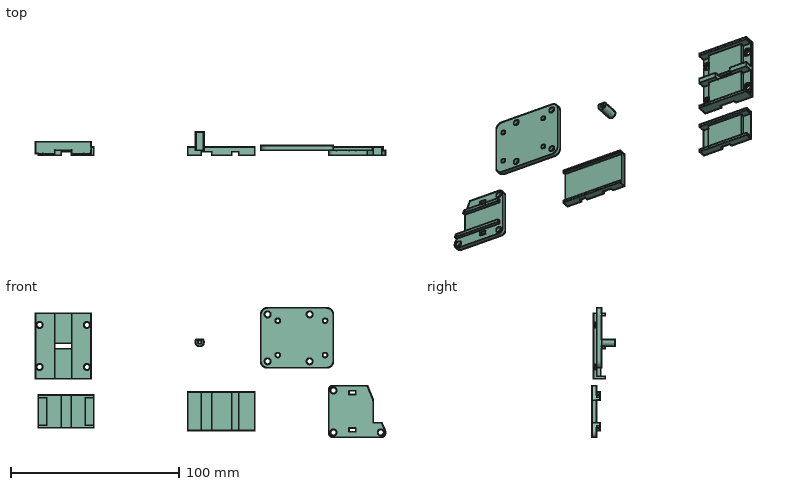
import cadquery as cq
import math



def box(x, y, z, width, depth, height):
    """Box from its lowest corner and its sizes along X, Y and Z."""
    return cq.Workplane("XY").box(width, depth, height, centered=False).translate((x, y, z))


def y_cylinder(x, y, z, diameter, length):
    """Cylinder along +Y that starts at (x, y, z)."""
    return cq.Workplane("XZ", origin=(x, y, z)).circle(diameter / 2).extrude(-length)


def drill(body, places, diameter, y, length):
    """Cut holes along Y at the given (x, z) places."""
    for x, z in places:
        body = body.cut(y_cylinder(x, y, z, diameter, length))
    return body


SCREW_HOLE = 3.5
SHEET = 3.0
CLIP_WIDTH = 33.1
GROOVE_DEPTH = 2.0
FLANGED_DEPTH = 5.0

SCREW_CLIP_Y = 1.0
SCREW_CLIP_Z = 34.8
SCREW_CLIP_HEIGHT = 39.2
SCREW_CLIP_DEPTH = 7.0
SCREW_CLIP_WEB = 4.4
SCREW_CLIP_TAB = 2.0
SCREW_CLIP_FLANGE = 1.7
SCREW_CLIP_MARGIN = 5.2
SCREW_CLIP_GROOVE = 10.0
WINDOW_HEIGHT = 3.1
SCREW_INSET = 2.5
SCREW_PITCH_Z = 25.0
HEAD_DIAMETER = 5.2
HEAD_DEPTH = 1.0


def make_screw_clip():
    middle_z = SCREW_CLIP_Z + SCREW_CLIP_HEIGHT / 2
    top_z = SCREW_CLIP_Z + SCREW_CLIP_HEIGHT
    back_y = SCREW_CLIP_Y + SCREW_CLIP_TAB

    clip = box(0, SCREW_CLIP_Y, SCREW_CLIP_Z, CLIP_WIDTH, SCREW_CLIP_TAB, SCREW_CLIP_HEIGHT)
    slab_width = CLIP_WIDTH - 2 * SCREW_CLIP_MARGIN
    clip = clip.union(
        box(SCREW_CLIP_MARGIN, SCREW_CLIP_Y, SCREW_CLIP_Z, slab_width, SCREW_CLIP_WEB, SCREW_CLIP_HEIGHT)
    )
    window_z = middle_z - WINDOW_HEIGHT / 2
    flanges = [
        (SCREW_CLIP_Z, SCREW_CLIP_FLANGE),
        (window_z, WINDOW_HEIGHT),
        (top_z - SCREW_CLIP_FLANGE, SCREW_CLIP_FLANGE),
    ]
    for z, height in flanges:
        clip = clip.union(box(0, SCREW_CLIP_Y, z, CLIP_WIDTH, SCREW_CLIP_DEPTH, height))

    groove_x = (CLIP_WIDTH - SCREW_CLIP_GROOVE) / 2
    clip = clip.cut(
        box(groove_x, SCREW_CLIP_Y, SCREW_CLIP_Z, SCREW_CLIP_GROOVE, GROOVE_DEPTH, SCREW_CLIP_HEIGHT)
    )
    clip = clip.cut(
        box(groove_x, SCREW_CLIP_Y, window_z, SCREW_CLIP_GROOVE, SCREW_CLIP_DEPTH, WINDOW_HEIGHT)
    )

    screws = [
        (x, middle_z + side * SCREW_PITCH_Z / 2)
        for x in (SCREW_INSET, CLIP_WIDTH - SCREW_INSET)
        for side in (-1, 1)
    ]
    clip = drill(clip, screws, SCREW_HOLE, SCREW_CLIP_Y, SCREW_CLIP_TAB)
    return drill(clip, screws, HEAD_DIAMETER, back_y - HEAD_DEPTH, HEAD_DEPTH)



def make_grooved_clip(x, z, width, height, flange, grooves):
    """Slab with a flange along its top and bottom and vertical front grooves.

    Each groove is given as (offset from the left side, width).
    """
    clip = box(x, 0, z, width, SHEET, height)
    for flange_z in (z, z + height - flange):
        clip = clip.union(box(x, 0, flange_z, width, FLANGED_DEPTH, flange))
    for offset, groove_width in grooves:
        clip = clip.cut(box(x + offset, 0, z, groove_width, GROOVE_DEPTH, height))
    return clip


SMALL_CLIP_X = 1.7
SMALL_CLIP_Z = 5.6
SMALL_CLIP_HEIGHT = 19.5
SMALL_CLIP_FLANGE = 1.7
SMALL_CLIP_MARGIN = 5.0
SMALL_CLIP_TAB = 0.5
SMALL_CLIP_GROOVES = [(13.8, 6.0)]


def make_small_clip():
    clip = make_grooved_clip(
        SMALL_CLIP_X, SMALL_CLIP_Z, CLIP_WIDTH, SMALL_CLIP_HEIGHT, SMALL_CLIP_FLANGE, SMALL_CLIP_GROOVES
    )
    pocket_z = SMALL_CLIP_Z + SMALL_CLIP_FLANGE
    pocket_height = SMALL_CLIP_HEIGHT - 2 * SMALL_CLIP_FLANGE
    for x in (SMALL_CLIP_X, SMALL_CLIP_X + CLIP_WIDTH - SMALL_CLIP_MARGIN):
        clip = clip.cut(box(x, SMALL_CLIP_TAB, pocket_z, SMALL_CLIP_MARGIN, FLANGED_DEPTH, pocket_height))
    return clip


WIDE_CLIP_X = 90.6
WIDE_CLIP_Z = 4.0
WIDE_CLIP_WIDTH = 40.0
WIDE_CLIP_HEIGHT = 23.1
WIDE_CLIP_FLANGE = 1.5
WIDE_CLIP_GROOVES = [(8.1, 6.0), (26.3, 4.0)]


def make_wide_clip():
    return make_grooved_clip(
        WIDE_CLIP_X, WIDE_CLIP_Z, WIDE_CLIP_WIDTH, WIDE_CLIP_HEIGHT, WIDE_CLIP_FLANGE, WIDE_CLIP_GROOVES
    )


SHAFT_X = 97.7
SHAFT_Y = SHEET
SHAFT_Z = 56.7
SHAFT_DIAMETER = 5.2
SHAFT_LENGTH = 11.0
SHAFT_BORE = 2.0
SHAFT_FLAT = 1.7


def make_shaft():
    shaft = y_cylinder(SHAFT_X, SHAFT_Y, SHAFT_Z, SHAFT_DIAMETER, SHAFT_LENGTH)
    radius = SHAFT_DIAMETER / 2
    shaft = shaft.cut(
        box(SHAFT_X - radius, SHAFT_Y, SHAFT_Z + SHAFT_FLAT, SHAFT_DIAMETER, SHAFT_LENGTH, radius)
    )
    return drill(shaft, [(SHAFT_X, SHAFT_Z)], SHAFT_BORE, SHAFT_Y, SHAFT_LENGTH)


PLATE_X = 134.0
PLATE_Y = SHEET
PLATE_Z = 41.3
PLATE_WIDTH = 43.3
PLATE_HEIGHT = 35.8
PLATE_CORNER = 4.2
LARGE_HOLES_X = (4.2, 29.2)
LARGE_HOLES_PITCH_Z = 28.0
SMALL_HOLE = 2.7
SMALL_HOLES_X = (10.2, 38.3)
SMALL_HOLES_PITCH_Z = 20.5


def make_mounting_plate():
    plate = box(PLATE_X, PLATE_Y, PLATE_Z, PLATE_WIDTH, SHEET, PLATE_HEIGHT)
    plate = plate.edges("|Y").fillet(PLATE_CORNER)
    middle_z = PLATE_Z + PLATE_HEIGHT / 2
    hole_sets = [
        (LARGE_HOLES_X, LARGE_HOLES_PITCH_Z, SCREW_HOLE),
        (SMALL_HOLES_X, SMALL_HOLES_PITCH_Z, SMALL_HOLE),
    ]
    for offsets, pitch_z, diameter in hole_sets:
        places = [(PLATE_X + dx, middle_z + side * pitch_z / 2) for dx in offsets for side in (-1, 1)]
        plate = drill(plate, places, diameter, PLATE_Y, SHEET)
    return plate


BRACKET_LEFT = 174.5
BRACKET_RIGHT = 208.4
BRACKET_TOP = 30.8
BRACKET_CORNER = 3.0
SLOPE_TOP_X = 197.5
SLOPE_BOTTOM_Z = 22.0
NOTCH_X = 201.0
EAR_TOP = 8.8
EAR_CORNER_X = 206.0
RIB_INSET = 2.0
RIB_HEIGHT = 1.9
SLOT_X = 188.5
SLOT_WIDTH = 4.0
SLOT_HEIGHT = 2.0
SLOTS_Z = (4.4, 26.7)


def bracket_outline(depth):
    """The bracket's outline, extruded from y = 0."""
    eye_x = BRACKET_RIGHT - BRACKET_CORNER
    eye_z = BRACKET_CORNER
    dx = EAR_CORNER_X - eye_x
    dz = EAR_TOP - eye_z
    tangent = math.atan2(dz, dx) - math.acos(BRACKET_CORNER / math.hypot(dx, dz))

    def eye_point(angle):
        return (eye_x + BRACKET_CORNER * math.cos(angle), eye_z + BRACKET_CORNER * math.sin(angle))

    outline = (
        cq.Workplane("XZ")
        .moveTo(BRACKET_LEFT, 0)
        .lineTo(BRACKET_LEFT, BRACKET_TOP)
        .lineTo(SLOPE_TOP_X, BRACKET_TOP)
        .lineTo(NOTCH_X, SLOPE_BOTTOM_Z)
        .lineTo(NOTCH_X, EAR_TOP)
        .lineTo(EAR_CORNER_X, EAR_TOP)
        .lineTo(*eye_point(tangent))
        .threePointArc(eye_point((tangent - math.pi / 2) / 2), eye_point(-math.pi / 2))
        .close()
        .extrude(-depth)
    )
    return outline.edges("|Y and <X").fillet(BRACKET_CORNER)


def make_bracket():
    bracket = bracket_outline(SHEET)
    rib_x = BRACKET_LEFT + RIB_INSET
    for rib_z in (EAR_TOP - RIB_HEIGHT, SLOPE_BOTTOM_Z):
        rib = box(rib_x, 0, rib_z, BRACKET_RIGHT - rib_x, FLANGED_DEPTH, RIB_HEIGHT)
        bracket = bracket.union(rib.intersect(bracket_outline(FLANGED_DEPTH)))

    left_x = BRACKET_LEFT + BRACKET_CORNER
    screws = [
        (left_x, BRACKET_CORNER),
        (left_x, BRACKET_TOP - BRACKET_CORNER),
        (BRACKET_RIGHT - BRACKET_CORNER, BRACKET_CORNER),
    ]
    bracket = drill(bracket, screws, SCREW_HOLE, 0, SHEET)

    for slot_z in SLOTS_Z:
        slot_x = SLOT_X - SLOT_WIDTH / 2
        bracket = bracket.cut(box(slot_x, 0, slot_z - SLOT_HEIGHT / 2, SLOT_WIDTH, SHEET, SLOT_HEIGHT))
    return bracket


screw_clip = make_screw_clip()
small_clip = make_small_clip()
wide_clip = make_wide_clip()
shaft = make_shaft()
mounting_plate = make_mounting_plate()
bracket = make_bracket()

result = cq.Compound.makeCompound(
    [
        screw_clip.val(),
        small_clip.val(),
        wide_clip.val(),
        shaft.val(),
        mounting_plate.val(),
        bracket.val(),
    ]
)